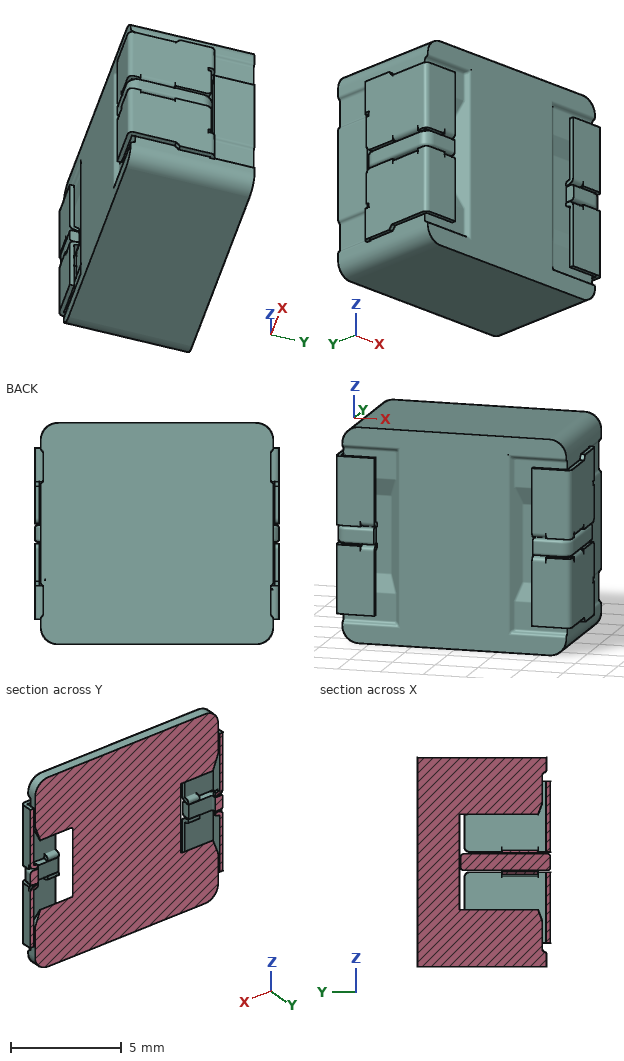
import cadquery as cq
import math


overall_width = 11.02
body_width = 10.49
body_height = 10.0
body_depth = 5.83
body_corner_radius = 0.78
half_body = body_width / 2

lead_root_y = 3.92
groove_inner_z = 2.18
groove_outer_z = 3.87
groove_edge_width = 0.26
groove_depth = 0.12

pocket_inner_x = 2.52
pocket_half_height = 4.18
pocket_edge_width = 0.28
pocket_depth = 0.2
pocket_round = 0.13
edge_margin = 0.01

channel_floor_z = 1.81
channel_top_z = 2.65
channel_extra_depth = 0.31
channel_round = 0.18

lead_outer_x = overall_width / 2
lead_thickness = 0.21
lead_bend_radius = 0.22
foot_y = -0.18
foot_inner_x = 3.69
lead_edge_z = 0.45
lead_wide_z = 3.87
lead_narrow_z = 3.65
narrow_start_y = 2.05
narrow_end_y = 2.24
root_inner_z = 2.35
relief_width = 0.21
relief_depth = 0.14
relief_radius = 0.07
lead_corner_radius = 0.24
embed = 0.55

lip_outer_z = 0.67
lip_radius = 0.22
lip_reach = 0.44
lip_lean = 15.0
lip_tip_radius = 0.13
side_lip_start_y = 0.39
side_lip_end_y = 2.02
foot_lip_start_x = 4.34

wire_half_width = 0.39
wire_thickness = 0.46
wire_edge_radius = 0.14
wire_end_x = 3.72
wire_foot_bend_radius = 0.48
wire_root_bend_radius = 0.55
wire_root_y = 3.89


def s_shaped_trough(low, high, edge_width, depth):
    """Closed trough outline: S-shaped edges from the surface v = 0 to the floor v = depth.

    The outline spans low..high in u and is given in the (u, v) plane.
    """
    arc_angle = 2 * math.atan2(depth, edge_width)
    radius = edge_width / (2 * math.sin(arc_angle))
    step_u = radius * math.sin(arc_angle / 2)
    step_v = radius * (1 - math.cos(arc_angle / 2))
    half_u = edge_width / 2
    return (
        cq.Workplane("ZY")
        .moveTo(low, 0)
        .threePointArc((low + step_u, step_v), (low + half_u, depth / 2))
        .threePointArc((low + edge_width - step_u, depth - step_v), (low + edge_width, depth))
        .lineTo(high - edge_width, depth)
        .threePointArc((high - edge_width + step_u, depth - step_v), (high - half_u, depth / 2))
        .threePointArc((high - step_u, step_v), (high, 0))
        .close()
    )


def make_groove():
    """Shallow groove along Y in the -X face, on the +Z half, open at the back."""
    length = body_depth - lead_root_y
    return (
        s_shaped_trough(groove_inner_z, groove_outer_z, groove_edge_width, groove_depth)
        .extrude(length)
        .rotate((0, 0, 0), (0, 0, 1), -90)
        .translate((-half_body, lead_root_y, 0))
    )


def make_pocket():
    """Pocket in the mounting face, open to the -X face, with a deeper middle."""
    full_depth = pocket_depth + channel_extra_depth
    length = half_body - pocket_inner_x

    trough = s_shaped_trough(
        -pocket_half_height, pocket_half_height, pocket_edge_width, pocket_depth
    ).extrude(length)
    middle = (
        cq.Workplane("ZY")
        .polyline([
            (-channel_top_z, 0),
            (-channel_top_z, pocket_depth),
            (-channel_floor_z, full_depth),
            (channel_floor_z, full_depth),
            (channel_top_z, pocket_depth),
            (channel_top_z, 0),
        ])
        .close()
        .extrude(length)
    )
    prism = trough.union(middle).translate((-pocket_inner_x, 0, 0))
    ramp_edges = cq.selectors.BoxSelector(
        (-half_body, pocket_depth - edge_margin, -channel_top_z - edge_margin),
        (-pocket_inner_x, full_depth + edge_margin, channel_top_z + edge_margin),
    )
    prism = prism.edges("|X").edges(ramp_edges).fillet(channel_round)

    roll_x = pocket_round * math.sin(math.pi / 4)
    roll_y = pocket_round * (1 - math.cos(math.pi / 4))
    roll_mid_x = pocket_round * math.sin(math.pi / 8)
    roll_mid_y = pocket_round * (1 - math.cos(math.pi / 8))
    slope_depth = full_depth - roll_y
    wall_foot_x = -pocket_inner_x - roll_x - slope_depth
    wall = (
        cq.Workplane("XY")
        .moveTo(-pocket_inner_x, 0)
        .threePointArc(
            (-pocket_inner_x - roll_mid_x, roll_mid_y), (-pocket_inner_x - roll_x, roll_y)
        )
        .lineTo(wall_foot_x, full_depth)
        .lineTo(-half_body, full_depth)
        .lineTo(-half_body, 0)
        .close()
        .extrude(pocket_half_height, both=True)
    )
    floor_edges = cq.selectors.BoxSelector(
        (wall_foot_x - edge_margin, pocket_depth - edge_margin, -pocket_half_height),
        (-pocket_inner_x, full_depth + edge_margin, pocket_half_height),
    )
    return prism.intersect(wall).edges(floor_edges).fillet(pocket_round)


def make_side_channel():
    """Channel in the -X face that gives room for the wire and the lips."""
    floor_x = -half_body + channel_extra_depth
    return (
        cq.Workplane("XZ")
        .polyline([
            (-half_body, -channel_top_z),
            (floor_x, -channel_floor_z),
            (floor_x, channel_floor_z),
            (-half_body, channel_top_z),
        ])
        .close()
        .extrude(-lead_root_y)
        .edges(">X and |Y")
        .fillet(channel_round)
    )


def make_body():
    body = (
        cq.Workplane("XZ")
        .rect(body_width, body_height)
        .extrude(-body_depth)
        .edges("|Y")
        .fillet(body_corner_radius)
    )
    groove = make_groove()
    for tool in (groove, groove.mirror("XY"), make_pocket(), make_side_channel()):
        body = body.cut(tool).cut(tool.mirror("YZ"))
    return body


def box_between(x_range, y_range, z_range):
    size = [high - low for low, high in (x_range, y_range, z_range)]
    corner = (x_range[0], y_range[0], z_range[0])
    return cq.Workplane("XY").box(*size, centered=False).translate(corner)


def lip_section(plane):
    """Lip outline: first coordinate is depth below the outer lead surface, second is z.

    The sheet bends by slightly less than a right angle and runs straight to its tip.
    """
    bend = math.radians(90 - lip_lean)
    inner_radius = lip_radius - lead_thickness
    straight = (lip_reach - lip_radius * (1 - math.cos(bend))) / math.sin(bend)

    def on_bend(radius, angle):
        return (lip_radius - radius * math.cos(angle), lip_outer_z - radius * math.sin(angle))

    def on_straight(radius, distance):
        depth, z = on_bend(radius, bend)
        return (depth + distance * math.sin(bend), z - distance * math.cos(bend))

    corner_mid = lip_tip_radius * (1 - math.sqrt(0.5))
    return (
        cq.Workplane(plane)
        .moveTo(*on_bend(lip_radius, 0))
        .threePointArc(on_bend(lip_radius, bend / 2), on_bend(lip_radius, bend))
        .lineTo(*on_straight(lip_radius, straight))
        .lineTo(*on_straight(inner_radius + lip_tip_radius, straight))
        .threePointArc(
            on_straight(inner_radius + corner_mid, straight - corner_mid),
            on_straight(inner_radius, straight - lip_tip_radius),
        )
        .lineTo(*on_bend(inner_radius, bend))
        .threePointArc(on_bend(inner_radius, bend / 2), on_bend(inner_radius, 0))
        .close()
    )


def make_lead_half():
    """The +Z half of the flat lead on the -X side."""
    outer_x = -lead_outer_x
    inner_x = outer_x + lead_thickness
    root_x = -half_body + embed
    strip_end_y = lead_root_y - lead_thickness
    lead = (
        cq.Workplane("XY")
        .polyline([
            (root_x, lead_root_y),
            (outer_x, lead_root_y),
            (outer_x, foot_y),
            (-foot_inner_x, foot_y),
            (-foot_inner_x, foot_y + lead_thickness),
            (inner_x, foot_y + lead_thickness),
            (inner_x, strip_end_y),
            (root_x, strip_end_y),
        ])
        .close()
        .extrude(lead_wide_z - lead_edge_z)
        .translate((0, 0, lead_edge_z))
        .edges("<X and |Z")
        .fillet(lead_bend_radius)
    )

    outline = (
        cq.Workplane("YZ")
        .moveTo(foot_y, lead_edge_z)
        .lineTo(strip_end_y - lead_corner_radius, lead_edge_z)
        .radiusArc((strip_end_y, lead_edge_z + lead_corner_radius), -lead_corner_radius)
        .lineTo(strip_end_y, root_inner_z)
        .lineTo(lead_root_y, root_inner_z)
        .lineTo(lead_root_y, lead_wide_z)
        .lineTo(narrow_end_y, lead_wide_z)
        .lineTo(narrow_start_y, lead_narrow_z)
        .lineTo(foot_y, lead_narrow_z)
        .close()
        .extrude(-lead_outer_x)
    )
    lead = lead.intersect(outline)

    relief = box_between(
        (outer_x, root_x),
        (strip_end_y - relief_depth, lead_root_y),
        (root_inner_z - relief_width, root_inner_z),
    ).edges("<Y and <Z and |X").fillet(relief_radius)
    lead = lead.cut(relief)

    lip_z = (lead_edge_z, lip_outer_z)
    side_y = (side_lip_start_y, side_lip_end_y)
    foot_x = (-foot_lip_start_x, -foot_inner_x)
    lead = lead.cut(box_between((outer_x, inner_x), side_y, lip_z))
    lead = lead.cut(box_between(foot_x, (foot_y, foot_y + lead_thickness), lip_z))
    side_lip = (
        lip_section("XZ")
        .extrude(side_lip_start_y - side_lip_end_y)
        .translate((outer_x, side_lip_start_y, 0))
    )
    foot_lip = (
        lip_section("YZ")
        .extrude(foot_lip_start_x - foot_inner_x)
        .translate((-foot_lip_start_x, foot_y, 0))
    )
    return lead.union(side_lip).union(foot_lip)


def make_wire():
    """Flat wire on the -X side, swept along its outer surface."""
    outer_x = -lead_outer_x
    path = (
        cq.Workplane("XY")
        .moveTo(-wire_end_x, foot_y)
        .lineTo(outer_x + wire_foot_bend_radius, foot_y)
        .radiusArc((outer_x, foot_y + wire_foot_bend_radius), wire_foot_bend_radius)
        .lineTo(outer_x, wire_root_y - wire_root_bend_radius)
        .radiusArc((outer_x + wire_root_bend_radius, wire_root_y), wire_root_bend_radius)
        .lineTo(-half_body + embed + wire_root_bend_radius, wire_root_y)
    )
    flat_half = wire_half_width - wire_edge_radius
    inner_y = foot_y + wire_thickness
    return (
        cq.Workplane("YZ", origin=(-wire_end_x, 0, 0))
        .moveTo(foot_y, -flat_half)
        .lineTo(foot_y, flat_half)
        .radiusArc((foot_y + wire_edge_radius, wire_half_width), wire_edge_radius)
        .lineTo(inner_y, wire_half_width)
        .lineTo(inner_y, -wire_half_width)
        .lineTo(foot_y + wire_edge_radius, -wire_half_width)
        .radiusArc((foot_y, -flat_half), wire_edge_radius)
        .close()
        .sweep(path)
    )


result = make_body()
lead_half = make_lead_half()
for piece in (lead_half, lead_half.mirror("XY"), make_wire()):
    result = result.union(piece).union(piece.mirror("YZ"))